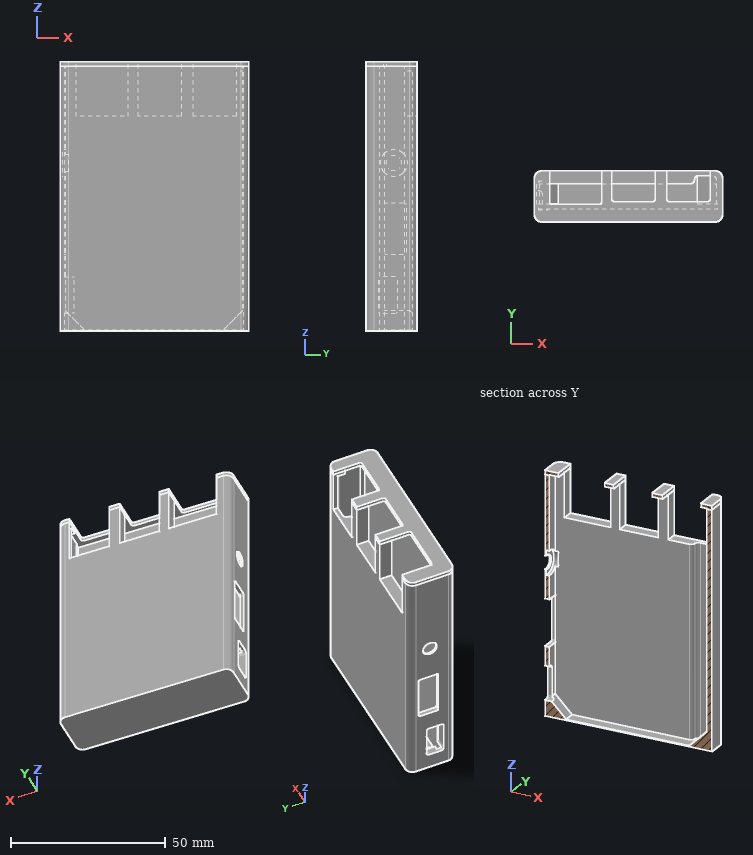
import cadquery as cq

WIDTH = 61.2
DEPTH = 16.7
HEIGHT = 87.4
EDGE_RADIUS = 2.5
CAP_THICKNESS = 1.5
CASE_HEIGHT = HEIGHT - CAP_THICKNESS
LEFT_FACE = -WIDTH / 2

CHAMBER_LEFT = -29.0
CHAMBER_RIGHT = 28.5
CHAMBER_BACK = 4.1
FLOOR = 0.5
CORNER_LEG = 6.2

BOARD_SIDE_PLAY = 0.3
BOARD_SLOT_FRONT = -3.9
BOARD_SLOT_BACK = -2.4

RECESS_LEFT = 21.4
RECESS_TOP = 84.5
RECESS_RADIUS = 1.3
RECESS_BACK = CHAMBER_BACK + 2 * RECESS_RADIUS

NOTCHES = [(-25.6, -8.7, -2.6), (-5.4, 8.65, -1.7), (12.4, 26.5, -1.7)]
NOTCH_FLOOR = 69.9
NOTCH_RADIUS = 0.7

LARGE_OPENING = (CHAMBER_LEFT, -2.4, 4.7, 24.9, 41.7, 0.6)
SMALL_OPENING = (-26.2, -4.3, 1.9, 5.8, 17.8, 1.0)

JACK_Y = 0.7
JACK_Z = 54.6
JACK_DIAMETER = 5.0
JACK_SKIN = 0.6
JACK_BORE_DIAMETER = 8.7
JACK_BORE_END = -28.0


def box_between(x_range, y_range, z_range):
    """Axis-aligned box from its lower and upper limits."""
    size = [high - low for low, high in (x_range, y_range, z_range)]
    return cq.Workplane("XY").box(*size, centered=False).translate((x_range[0], y_range[0], z_range[0]))


def outer_block(bottom, top):
    """Length of the rounded outer bar between two heights."""
    bar = cq.Workplane("XY", origin=(0, 0, bottom)).rect(WIDTH, DEPTH).extrude(top - bottom)
    return bar.edges("|Z").fillet(EDGE_RADIUS)


def notches(bottom, top):
    """Connector notches, open at the back, between two heights."""
    cutters = cq.Workplane("XY")
    for left, right, front in NOTCHES:
        notch = box_between((left, right), (front, DEPTH), (bottom, top))
        cutters = cutters.add(notch.edges("|Z and <Y").fillet(NOTCH_RADIUS))
    return cutters.combine()


def chamber():
    """Component space with both bottom corners cut at 45 degrees."""
    main = box_between(
        (CHAMBER_LEFT, CHAMBER_RIGHT), (BOARD_SLOT_BACK, CHAMBER_BACK), (FLOOR, CASE_HEIGHT)
    )
    return main.edges("|Y and <Z").chamfer(CORNER_LEG)


def side_recess():
    """Deeper strip of the chamber, blended into its back wall by two equal arcs."""
    r = RECESS_RADIUS
    profile = (
        cq.Workplane("XY", origin=(0, 0, FLOOR))
        .moveTo(RECESS_LEFT - r, CHAMBER_BACK)
        .radiusArc((RECESS_LEFT, CHAMBER_BACK + r), -r)
        .radiusArc((RECESS_LEFT + r, RECESS_BACK), r)
        .lineTo(CHAMBER_RIGHT - r, RECESS_BACK)
        .radiusArc((CHAMBER_RIGHT, RECESS_BACK - r), r)
        .lineTo(CHAMBER_RIGHT, CHAMBER_BACK)
        .close()
    )
    strip = profile.extrude(RECESS_TOP - FLOOR)
    return strip.cut(corner_wedge())


def corner_wedge():
    """Bottom right corner block that slopes at 45 degrees."""
    return (
        cq.Workplane("XZ", origin=(0, DEPTH, 0))
        .moveTo(CHAMBER_RIGHT - CORNER_LEG, FLOOR)
        .lineTo(CHAMBER_RIGHT, FLOOR)
        .lineTo(CHAMBER_RIGHT, FLOOR + CORNER_LEG)
        .close()
        .extrude(DEPTH)
    )


def board_slot():
    """Full rectangle for the board, slightly wider than the chamber."""
    return box_between(
        (CHAMBER_LEFT - BOARD_SIDE_PLAY, CHAMBER_RIGHT + BOARD_SIDE_PLAY),
        (BOARD_SLOT_FRONT, BOARD_SLOT_BACK),
        (FLOOR, CASE_HEIGHT),
    )


def side_opening(inner, front, back, bottom, top, radius):
    """Rounded rectangular opening from the left face to an inner x."""
    return box_between((LEFT_FACE, inner), (front, back), (bottom, top)).edges("|X").fillet(radius)


def jack_hole():
    """Stepped round hole that enters through the left face."""
    centre = cq.Workplane("YZ", origin=(LEFT_FACE, JACK_Y, JACK_Z))
    hole = centre.circle(JACK_DIAMETER / 2).extrude(JACK_SKIN)
    bore = centre.workplane(offset=JACK_SKIN).circle(JACK_BORE_DIAMETER / 2)
    return hole.union(bore.extrude(JACK_BORE_END - LEFT_FACE - JACK_SKIN))


def make_case():
    """Hollow case that the board slides into from the top end."""
    case = outer_block(0, CASE_HEIGHT)
    case = case.cut(chamber()).cut(side_recess()).cut(board_slot())
    back_wall = box_between((-WIDTH, WIDTH), (CHAMBER_BACK, DEPTH), (NOTCH_FLOOR, CASE_HEIGHT))
    case = case.cut(notches(NOTCH_FLOOR, CASE_HEIGHT).intersect(back_wall))
    for opening in (LARGE_OPENING, SMALL_OPENING):
        case = case.cut(side_opening(*opening))
    return case.cut(jack_hole())


def make_cap():
    """Plate that closes the top end around the connectors."""
    return outer_block(CASE_HEIGHT, HEIGHT).cut(notches(CASE_HEIGHT, HEIGHT))


case = make_case()
cap = make_cap()
result = cq.Compound.makeCompound([case.val(), cap.val()])